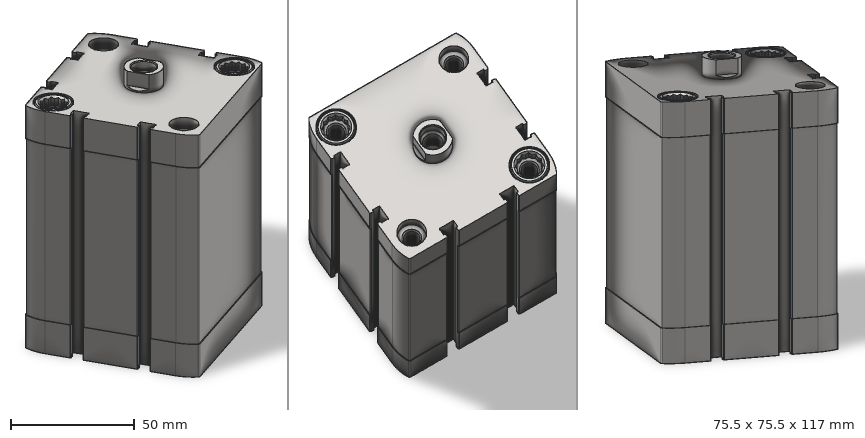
import cadquery as cq
import math

WIDTH = 75.5
HEIGHT = 109.0
CAP_HEIGHT = 14.8
TUBE_INSET = 0.3
HALF = WIDTH / 2

CORNER_ARC_RADIUS = 20.0
CORNER_ARC_START = 28.25
CORNER_BLEND_RADIUS = 1.0

SLOT_OFFSET = 14.5
SLOT_OPENING = 5.2
SLOT_INNER_WIDTH = 6.8
SLOT_LIP = 1.8
SLOT_MOUTH_CHAMFER = 0.4
SLOT_DEPTH = 5.0

HOLE_OFFSET = 56.5 / 2
SEAT_DEPTH = 5.0
SEAT_DIAMETER = 12.0
THREAD_DIAMETER = 6.65
THREAD_MOUTH_DIAMETER = 8.0

HEAD_DIAMETER = 15.5
HEAD_RECESS_DIAMETER = 16.4
HEAD_GAP_DEPTH = 1.0
HEAD_CHAMFER = 0.5
SOCKET_SIDES = 6
SOCKET_DIAMETER = 11.4
SOCKET_DEPTH = 4.5
SOCKET_MOUTH_DIAMETER = 12.5

ROD_DIAMETER = 16.0
ROD_PROJECTION = 8.0
ROD_ENGAGEMENT = CAP_HEIGHT
ROD_LENGTH = ROD_PROJECTION + ROD_ENGAGEMENT
FLATS_WIDTH = 13.0
FLATS_HEIGHT = 6.4
FLATS_RUN_OUT_ANGLE = 30.0
ROD_BORE_DIAMETER = 10.5
ROD_BORE_DEPTH = 4.5
ROD_BORE_CHAMFER = 0.4
ROD_DRILL_DIAMETER = 8.38
ROD_DRILL_DEPTH = 16.0
DRILL_POINT_ANGLE = 118.0

CLEARANCE = 1.0


def cone_frustum(bottom_diameter, top_diameter, bottom_z, top_z):
    """Round shape about the Z axis that widens evenly from its bottom to its top."""
    return (
        cq.Workplane("XZ")
        .moveTo(0, bottom_z)
        .lineTo(bottom_diameter / 2, bottom_z)
        .lineTo(top_diameter / 2, top_z)
        .lineTo(0, top_z)
        .close()
        .revolve(360, (0, 0, 0), (0, 1, 0))
    )


def cylinder(diameter, bottom_z, top_z):
    """Cylinder about the Z axis between two heights."""
    return cq.Workplane("XY").workplane(offset=bottom_z).circle(diameter / 2).extrude(top_z - bottom_z)


def block(inset, bottom_z, top_z):
    """Square block with arched corners, its outline moved inwards by the inset."""
    half = HALF - inset
    radius = CORNER_ARC_RADIUS - inset
    blend = CORNER_BLEND_RADIUS - inset
    center_y = half - radius

    def on_arc(x):
        return center_y + math.sqrt(radius**2 - (x - CORNER_ARC_START) ** 2)

    mid_x = (CORNER_ARC_START + half) / 2
    mid_y = on_arc(mid_x)
    end_y = on_arc(half)
    outline = (
        cq.Workplane("XY")
        .workplane(offset=bottom_z)
        .moveTo(-CORNER_ARC_START, half)
        .lineTo(CORNER_ARC_START, half)
        .threePointArc((mid_x, mid_y), (half, end_y))
        .lineTo(half, -end_y)
        .threePointArc((mid_x, -mid_y), (CORNER_ARC_START, -half))
        .lineTo(-CORNER_ARC_START, -half)
        .threePointArc((-mid_x, -mid_y), (-half, -end_y))
        .lineTo(-half, end_y)
        .threePointArc((-mid_x, mid_y), (-CORNER_ARC_START, half))
        .close()
    )
    body = outline.extrude(top_z - bottom_z)
    return body.edges("|Z and (>X or <X)").fillet(blend)


def slot_pair(inset, bottom_z, top_z):
    """Two T-slots between two heights, opening through the -Y face of a block with the given inset."""
    face_y = -HALF + inset
    chamfer_y = face_y + SLOT_MOUTH_CHAMFER
    floor_y = -HALF + SLOT_DEPTH
    lip_y = -HALF + SLOT_LIP
    inner = SLOT_INNER_WIDTH / 2
    opening = SLOT_OPENING / 2
    mouth = opening + SLOT_MOUTH_CHAMFER
    pair = cq.Workplane("XY")
    for x in (-SLOT_OFFSET, SLOT_OFFSET):
        slot = (
            cq.Workplane("XY")
            .workplane(offset=bottom_z)
            .polyline(
                [
                    (x - inner, floor_y),
                    (x + inner, floor_y),
                    (x + inner, lip_y),
                    (x + opening, lip_y),
                    (x + opening, chamfer_y),
                    (x + mouth, face_y),
                    (x - mouth, face_y),
                    (x - opening, chamfer_y),
                    (x - opening, lip_y),
                    (x - inner, lip_y),
                ]
            )
            .close()
            .extrude(top_z - bottom_z)
        )
        pair = pair.add(slot)
    return pair.combine()


def slotted_block(inset, bottom_z, top_z):
    """Block with slots in its -Y, +Y and -X faces; the +X face stays plain."""
    body = block(inset, bottom_z, top_z)
    slots = slot_pair(inset, bottom_z, top_z)
    for angle in (0, 180, -90):
        body = body.cut(slots.rotate((0, 0, 0), (0, 0, 1), angle))
    return body


def threaded_hole(seat_z):
    """Through hole with a countersunk mouth at the given seat height."""
    mouth_depth = (THREAD_MOUTH_DIAMETER - THREAD_DIAMETER) / 2
    mouth = cone_frustum(THREAD_DIAMETER, THREAD_MOUTH_DIAMETER, seat_z - mouth_depth, seat_z)
    return cylinder(THREAD_DIAMETER, 0, seat_z).union(mouth)


def plain_corner_cut():
    """Counterbored corner hole."""
    seat_z = HEIGHT - SEAT_DEPTH
    return threaded_hole(seat_z).union(cylinder(SEAT_DIAMETER, seat_z, HEIGHT))


def screw_head_corner_cut():
    """Gap round a screw head, its twelve-point socket and the hole through it."""
    gap_floor = HEIGHT - HEAD_GAP_DEPTH
    head = cylinder(HEAD_DIAMETER, gap_floor, HEIGHT).faces(">Z").chamfer(HEAD_CHAMFER)
    gap = cylinder(HEAD_RECESS_DIAMETER, gap_floor, HEIGHT).cut(head)

    seat_z = HEIGHT - SOCKET_DEPTH
    hexagon = (
        cq.Workplane("XY")
        .workplane(offset=seat_z)
        .polygon(SOCKET_SIDES, SOCKET_DIAMETER)
        .extrude(SOCKET_DEPTH)
    )
    half_step = 180 / SOCKET_SIDES
    socket = hexagon.union(hexagon.rotate((0, 0, 0), (0, 0, 1), half_step))
    corner_ratio = math.cos(math.radians(half_step)) / math.cos(math.radians(half_step / 2))
    inner_diameter = SOCKET_DIAMETER * corner_ratio
    mouth_depth = (SOCKET_MOUTH_DIAMETER - inner_diameter) / 2
    mouth = cone_frustum(inner_diameter, SOCKET_MOUTH_DIAMETER, HEIGHT - mouth_depth, HEIGHT)
    return threaded_hole(seat_z).union(socket).union(mouth).union(gap)


def make_housing():
    tube_bottom = CAP_HEIGHT
    tube_top = HEIGHT - CAP_HEIGHT
    bottom_cap = slotted_block(0, 0, tube_bottom)
    tube = slotted_block(TUBE_INSET, tube_bottom, tube_top)
    top_cap = slotted_block(0, tube_top, HEIGHT)
    housing = bottom_cap.union(tube).union(top_cap)

    for side in (-1, 1):
        position = side * HOLE_OFFSET
        housing = housing.cut(plain_corner_cut().translate((position, -position, 0)))
        housing = housing.cut(screw_head_corner_cut().translate((position, position, 0)))

    return housing.cut(cylinder(ROD_DIAMETER, HEIGHT - ROD_ENGAGEMENT, HEIGHT))


def make_rod():
    top = HEIGHT + ROD_PROJECTION
    rod = cylinder(ROD_DIAMETER, top - ROD_LENGTH, top)

    flat_y = FLATS_WIDTH / 2
    run_out = ROD_DIAMETER / 2 + CLEARANCE - flat_y
    run_out_drop = run_out * math.tan(math.radians(FLATS_RUN_OUT_ANGLE))
    flat_bottom = top - FLATS_HEIGHT
    flat_cut = (
        cq.Workplane("YZ")
        .moveTo(flat_y, top)
        .lineTo(flat_y, flat_bottom)
        .lineTo(flat_y + run_out, flat_bottom - run_out_drop)
        .lineTo(flat_y + run_out, top)
        .close()
        .extrude(ROD_DIAMETER / 2, both=True)
    )
    rod = rod.cut(flat_cut).cut(flat_cut.mirror("XZ"))

    chamfer_z = top - ROD_BORE_CHAMFER
    bore_z = top - ROD_BORE_DEPTH
    step_z = bore_z - (ROD_BORE_DIAMETER - ROD_DRILL_DIAMETER) / 2
    drill_z = top - ROD_DRILL_DEPTH
    drill_radius = ROD_DRILL_DIAMETER / 2
    tip_z = drill_z - drill_radius / math.tan(math.radians(DRILL_POINT_ANGLE / 2))
    bore_radius = ROD_BORE_DIAMETER / 2
    hole = (
        cq.Workplane("XZ")
        .moveTo(0, tip_z)
        .lineTo(drill_radius, drill_z)
        .lineTo(drill_radius, step_z)
        .lineTo(bore_radius, bore_z)
        .lineTo(bore_radius, chamfer_z)
        .lineTo(bore_radius + ROD_BORE_CHAMFER, top)
        .lineTo(0, top)
        .close()
        .revolve(360, (0, 0, 0), (0, 1, 0))
    )
    return rod.cut(hole)


housing = make_housing()
rod = make_rod()

result = cq.Compound.makeCompound([housing.val(), rod.val()])